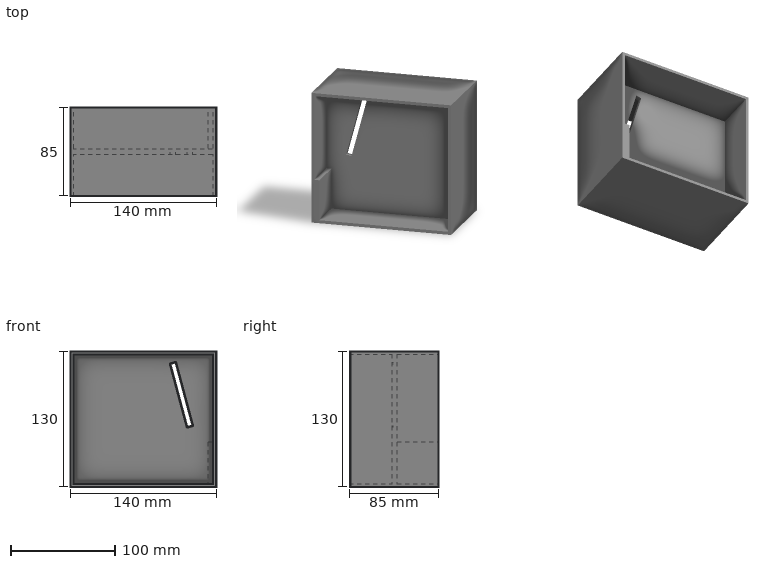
import cadquery as cq

width = 140.0
depth = 85.0
height = 130.0
wall = 3.0
front_depth = 40.0
panel_thickness = 5.0
rear_depth = depth - front_depth - panel_thickness

slot_length = 63.0
slot_width = 5.5
slot_tilt = 15.0
slot_center_x = 36.5
slot_center_z = 23.5

step_width = 5.0
step_height = 40.0


def make_compartment(compartment_depth, center_y):
    """Cavity with the full inner width and height of the box."""
    return (
        cq.Workplane("XY")
        .box(width - 2 * wall, compartment_depth, height - 2 * wall)
        .translate((0, center_y, 0))
    )


def make_slot_cutter():
    """Upright bar along Y, tilted so that its top leans toward -X."""
    return (
        cq.Workplane("XY")
        .box(slot_width, depth, slot_length)
        .rotate((0, 0, 0), (0, 1, 0), -slot_tilt)
        .translate((slot_center_x, 0, slot_center_z))
    )


def make_step(center_y):
    """Block over the full depth of the rear compartment, joined to the +X wall and the floor."""
    center_x = width / 2 - wall - step_width / 2
    center_z = -height / 2 + wall + step_height / 2
    return (
        cq.Workplane("XY")
        .box(step_width, rear_depth, step_height)
        .translate((center_x, center_y, center_z))
    )


front_center_y = (front_depth - depth) / 2
rear_center_y = (depth - rear_depth) / 2

result = (
    cq.Workplane("XY")
    .box(width, depth, height)
    .cut(make_compartment(front_depth, front_center_y))
    .cut(make_compartment(rear_depth, rear_center_y))
    .cut(make_slot_cutter())
    .union(make_step(rear_center_y))
)